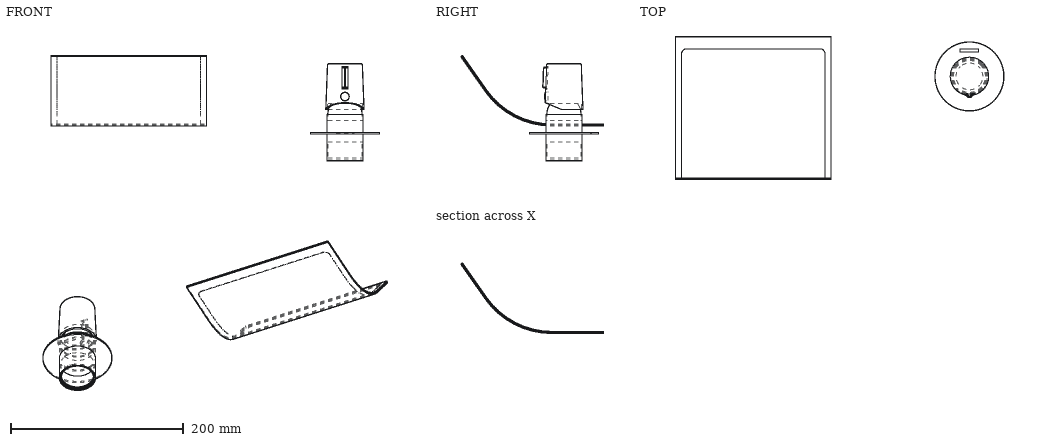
import cadquery as cq
import math


TOTAL_LENGTH = 380.0
TOTAL_HEIGHT = 121.94
FLANGE_DIAMETER = 80.0
PLATE_LEFT_X = FLANGE_DIAMETER / 2 - TOTAL_LENGTH
PLATE_BACK_Y = 46.0

PLATE_WIDTH = 180.0
PLATE_DEPTH = 165.36
PLATE_THICKNESS = 1.25
FLAT_DEPTH = 60.0
BEND_ANGLE = math.radians(55)
PLATE_BOTTOM_Z = 40.25
SPOUT_THICKNESS = 2 * PLATE_THICKNESS

BEND_Y = PLATE_BACK_Y - FLAT_DEPTH
RISE = TOTAL_HEIGHT - PLATE_BOTTOM_Z
DEPTH_BEYOND_FLAT = PLATE_DEPTH - FLAT_DEPTH
SINE = math.sin(BEND_ANGLE)
COSINE = math.cos(BEND_ANGLE)
OUTER_RADIUS = (
    DEPTH_BEYOND_FLAT * SINE - (RISE - SPOUT_THICKNESS * COSINE) * COSINE
) / (1 - COSINE)
LIP_LENGTH = (DEPTH_BEYOND_FLAT - OUTER_RADIUS * SINE) / COSINE
BEND_CENTRE_Z = PLATE_BOTTOM_Z + OUTER_RADIUS

CHANNEL_DEPTH = 0.42
CHANNEL_SIDE_MARGIN = 7.0
CHANNEL_BACK_MARGIN = 14.0
CHANNEL_CORNER_RADIUS = 6.0

BASE_DIAMETER = 42.0
BASE_HEIGHT = 53.8
BORE_DIAMETER = 39.0
LOWER_BORE_TOP_Z = 21.7
NECK_SEAT_Z = 46.9
BASE_LEDGE_BOTTOM_Z = 1.1
BASE_LEDGE_TOP_Z = 3.4
BASE_LEDGE_BORE = 37.0

FLANGE_THICKNESS = 2.0
FLANGE_BOTTOM_Z = 31.0
MARK_LENGTH = 21.5
MARK_WIDTH = 3.2
MARK_Y = 30.0
MARK_DEPTH = 0.5

STEM_DIAMETER = BORE_DIAMETER
BALL_DIAMETER = 40.0
NECK_TOP_DIAMETER = 31.0
NECK_HEIGHT = math.sqrt(BALL_DIAMETER**2 - NECK_TOP_DIAMETER**2) / 2

HANDLE_BOTTOM_Z = 59.5
HANDLE_TOP_Z = 112.6
HANDLE_TOP_DIAMETER = 40.5
HANDLE_BOTTOM_DIAMETER = 44.5
HANDLE_TOP_FILLET = 2.3
HANDLE_BORE_DIAMETER = 40.4
HANDLE_CUT_START_Y = -3.0
HANDLE_CUT_ANGLE = 22.6
HANDLE_HEIGHT = HANDLE_TOP_Z - HANDLE_BOTTOM_Z
TAPER_ANGLE = math.degrees(
    math.atan((HANDLE_BOTTOM_DIAMETER - HANDLE_TOP_DIAMETER) / 2 / HANDLE_HEIGHT)
)

CLEARANCE = 0.25
BAR_END_CLEARANCE = 0.75
BAR_DIAMETER = 6.8
BAR_LENGTH = 24.5
BAR_CENTRE_Z = HANDLE_TOP_Z - 16.2
BAR_END_CHAMFER = 1.3
BAR_BACK_DEPTH = 2.0
BAR_GROOVE_WIDTH = 1.0
BAR_GROOVE_DEPTH = 0.5

BUTTON_DIAMETER = 9.5
BUTTON_HOLE_DIAMETER = BUTTON_DIAMETER + 2 * CLEARANCE
BUTTON_Z = HANDLE_TOP_Z - 38.2
BUTTON_DEPTH = 3.0
BUTTON_DOME_HEIGHT = 1.0


def handle_radius(z):
    """Radius of the tapered handle at height z."""
    fraction = (z - HANDLE_BOTTOM_Z) / HANDLE_HEIGHT
    return (HANDLE_BOTTOM_DIAMETER + fraction * (HANDLE_TOP_DIAMETER - HANDLE_BOTTOM_DIAMETER)) / 2


def bend_point(radius, angle, lip=0.0):
    """Point (y, z) at an angle around the bend, moved along the tangent by the lip length."""
    y = BEND_Y - radius * math.sin(angle) - lip * math.cos(angle)
    z = BEND_CENTRE_Z - radius * math.cos(angle) + lip * math.sin(angle)
    return (y, z)


def bent_sheet(lower_offset, thickness, side_margin=0.0, back_margin=0.0):
    """Flat, bent and straight sheet whose underside is lower_offset above that of the spout."""
    lower = OUTER_RADIUS - lower_offset
    upper = lower - thickness
    back_y = PLATE_BACK_Y - back_margin
    half_bend = BEND_ANGLE / 2
    return (
        cq.Workplane("YZ", origin=(PLATE_LEFT_X + side_margin, 0, 0))
        .moveTo(back_y, BEND_CENTRE_Z - lower)
        .lineTo(*bend_point(lower, 0))
        .threePointArc(bend_point(lower, half_bend), bend_point(lower, BEND_ANGLE))
        .lineTo(*bend_point(lower, BEND_ANGLE, LIP_LENGTH))
        .lineTo(*bend_point(upper, BEND_ANGLE, LIP_LENGTH))
        .lineTo(*bend_point(upper, BEND_ANGLE))
        .threePointArc(bend_point(upper, half_bend), bend_point(upper, 0))
        .lineTo(back_y, BEND_CENTRE_Z - upper)
        .close()
        .extrude(PLATE_WIDTH - 2 * side_margin)
    )


def make_lower_plate():
    return bent_sheet(0, PLATE_THICKNESS)


def make_upper_plate():
    channel = bent_sheet(
        PLATE_THICKNESS, CHANNEL_DEPTH, CHANNEL_SIDE_MARGIN, CHANNEL_BACK_MARGIN
    )
    channel = channel.edges("|Z").fillet(CHANNEL_CORNER_RADIUS)
    return bent_sheet(PLATE_THICKNESS, PLATE_THICKNESS).cut(channel)


def disc(diameter, bottom_z, top_z):
    """Cylinder on the Z axis between two heights."""
    return cq.Workplane("XY", origin=(0, 0, bottom_z)).circle(diameter / 2).extrude(top_z - bottom_z)


def make_base():
    """Tube with a bore from below, a ledge near its bottom and a seat for the neck on top."""
    base = disc(BASE_DIAMETER, 0, BASE_HEIGHT)
    base = base.cut(disc(BORE_DIAMETER, 0, BASE_LEDGE_BOTTOM_Z))
    base = base.cut(disc(BASE_LEDGE_BORE, BASE_LEDGE_BOTTOM_Z, BASE_LEDGE_TOP_Z))
    base = base.cut(disc(BORE_DIAMETER, BASE_LEDGE_TOP_Z, LOWER_BORE_TOP_Z))
    return base.cut(disc(BORE_DIAMETER, NECK_SEAT_Z, BASE_HEIGHT))


def make_flange():
    flange_top_z = FLANGE_BOTTOM_Z + FLANGE_THICKNESS
    flange = disc(FLANGE_DIAMETER, FLANGE_BOTTOM_Z, flange_top_z)
    flange = flange.cut(disc(BASE_DIAMETER, FLANGE_BOTTOM_Z, flange_top_z))
    mark = (
        cq.Workplane("XY", origin=(0, MARK_Y, flange_top_z))
        .rect(MARK_LENGTH, MARK_WIDTH)
        .extrude(-MARK_DEPTH)
    )
    return flange.cut(mark)


def make_neck():
    """Stem seated in the base, under a truncated half ball that rests on the rim of the base."""
    ball_radius = BALL_DIAMETER / 2
    middle_angle = math.acos(NECK_TOP_DIAMETER / BALL_DIAMETER) / 2
    middle = ball_radius * math.cos(middle_angle)
    middle_height = ball_radius * math.sin(middle_angle)
    return (
        cq.Workplane("XZ")
        .moveTo(0, NECK_SEAT_Z)
        .lineTo(STEM_DIAMETER / 2, NECK_SEAT_Z)
        .lineTo(STEM_DIAMETER / 2, BASE_HEIGHT)
        .lineTo(ball_radius, BASE_HEIGHT)
        .threePointArc(
            (middle, BASE_HEIGHT + middle_height),
            (NECK_TOP_DIAMETER / 2, BASE_HEIGHT + NECK_HEIGHT),
        )
        .lineTo(0, BASE_HEIGHT + NECK_HEIGHT)
        .close()
        .revolve(360, (0, 0), (0, 1))
    )


def make_bar_blank(clearance=0.0, end_clearance=0.0):
    """Round-fronted bar grown by clearances round it and at its ends."""
    radius = BAR_DIAMETER / 2 + clearance
    length = BAR_LENGTH + 2 * end_clearance
    back = BAR_BACK_DEPTH
    return (
        cq.Workplane("XY", origin=(0, 0, -length / 2))
        .moveTo(-radius, back)
        .lineTo(-radius, 0)
        .threePointArc((0, -radius), (radius, 0))
        .lineTo(radius, back)
        .close()
        .extrude(length)
    )


def place_on_handle(shape):
    """Lean a shape with the handle's taper and move it to the bar's place on the front."""
    leaned = shape.rotate((0, 0, 0), (1, 0, 0), -TAPER_ANGLE)
    return leaned.translate((0, -handle_radius(BAR_CENTRE_Z), BAR_CENTRE_Z))


def make_bar():
    groove = cq.Workplane("XY").box(BAR_GROOVE_WIDTH, 2 * BAR_GROOVE_DEPTH, BAR_LENGTH)
    groove = groove.translate((0, -BAR_DIAMETER / 2, 0))
    bar = make_bar_blank().faces("<Z or >Z").edges("%CIRCLE").chamfer(BAR_END_CHAMFER)
    return place_on_handle(bar.cut(groove))


def button_cylinder(diameter, front_y):
    """Cylinder along Y from the bottom of the button hole to front_y."""
    back_y = BUTTON_DEPTH - handle_radius(BUTTON_Z)
    return (
        cq.Workplane("XZ", origin=(0, back_y, BUTTON_Z)).circle(diameter / 2).extrude(back_y - front_y)
    )


def make_button():
    """Short pin whose front is a shallow dome."""
    rim_y = -handle_radius(BUTTON_Z)
    dome_radius = ((BUTTON_DIAMETER / 2) ** 2 + BUTTON_DOME_HEIGHT**2) / (2 * BUTTON_DOME_HEIGHT)
    ball_centre_y = rim_y - BUTTON_DOME_HEIGHT + dome_radius
    ball = cq.Workplane("XY").sphere(dome_radius).translate((0, ball_centre_y, BUTTON_Z))
    return button_cylinder(BUTTON_DIAMETER, rim_y - BUTTON_DOME_HEIGHT).intersect(ball)


def make_handle():
    """Tapered cap, slanted under its front, with a neck bore and seats for bar and button."""
    handle = (
        cq.Workplane("XY", origin=(0, 0, HANDLE_BOTTOM_Z))
        .circle(HANDLE_BOTTOM_DIAMETER / 2)
        .workplane(offset=HANDLE_HEIGHT)
        .circle(HANDLE_TOP_DIAMETER / 2)
        .loft(ruled=True)
        .faces(">Z")
        .edges()
        .fillet(HANDLE_TOP_FILLET)
    )
    wedge_depth = HANDLE_BOTTOM_DIAMETER
    wedge = (
        cq.Workplane("YZ")
        .moveTo(HANDLE_CUT_START_Y, HANDLE_BOTTOM_Z)
        .line(-wedge_depth, 0)
        .line(0, wedge_depth * math.tan(math.radians(HANDLE_CUT_ANGLE)))
        .close()
        .extrude(HANDLE_BOTTOM_DIAMETER, both=True)
    )
    neck_bore = disc(HANDLE_BORE_DIAMETER, HANDLE_BOTTOM_Z, BASE_HEIGHT + NECK_HEIGHT)
    bar_pocket = place_on_handle(make_bar_blank(CLEARANCE, BAR_END_CLEARANCE))
    button_hole = button_cylinder(BUTTON_HOLE_DIAMETER, -HANDLE_BOTTOM_DIAMETER)
    return handle.cut(wedge).cut(neck_bore).cut(bar_pocket).cut(button_hole)


lower_plate = make_lower_plate()
upper_plate = make_upper_plate()
base = make_base()
flange = make_flange()
neck = make_neck()
handle = make_handle()
bar = make_bar()
button = make_button()

bodies = [lower_plate, upper_plate, base, flange, neck, handle, bar, button]
result = cq.Compound.makeCompound([body.val() for body in bodies])